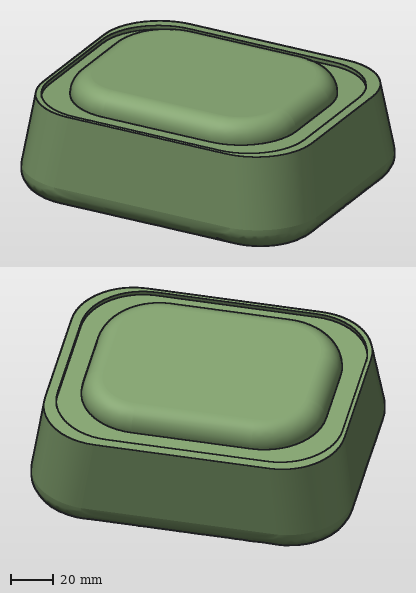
import cadquery as cq
import math

corner_radius = 30.0

housing_height = 47.0
rim_length = 145.0
rim_width = 120.0
wall_draft = 8.0
bottom_fillet = 10.0

foot_spread = 2 * housing_height * math.tan(math.radians(wall_draft))
foot_length = rim_length + foot_spread
foot_width = rim_width + foot_spread

near_rim = 2.0
far_rim = 5.0
lid_offset = (near_rim - far_rim) / 2

flange_length = rim_length - near_rim - far_rim
flange_width = rim_width - near_rim - far_rim
flange_thickness = 5.0
flange_drop = 2.0
flange_top = housing_height - flange_drop
flange_bottom = flange_top - flange_thickness

pad_margin = 10.0
pad_length = flange_length - 2 * pad_margin
pad_width = flange_width - 2 * pad_margin
pad_edge_radius = 10.0
pad_top = flange_top + pad_edge_radius


def rounded_rectangle(length, width):
    return cq.Sketch().rect(length, width).vertices().fillet(corner_radius)


def lid_block(length, width, top):
    """Upright rounded block on the lid's off-centre axis, from the flange underside up."""
    block = cq.Workplane("XY", origin=(lid_offset, lid_offset, flange_bottom))
    return block.placeSketch(rounded_rectangle(length, width)).extrude(top - flange_bottom)


def make_housing():
    foot = rounded_rectangle(foot_length, foot_width)
    rim = rounded_rectangle(rim_length, rim_width)
    rim_level = cq.Location(cq.Vector(0, 0, housing_height))
    body = cq.Workplane("XY").placeSketch(foot, rim.moved(rim_level)).loft()
    body = body.faces("<Z").edges().fillet(bottom_fillet)
    lid_recess = lid_block(flange_length, flange_width, housing_height)
    return body.cut(lid_recess)


def make_lid():
    flange = lid_block(flange_length, flange_width, flange_top)
    pad = lid_block(pad_length, pad_width, pad_top)
    pad = pad.faces(">Z").edges().fillet(pad_edge_radius)
    return flange.union(pad)


housing = make_housing()
lid = make_lid()

result = cq.Compound.makeCompound([housing.val(), lid.val()])